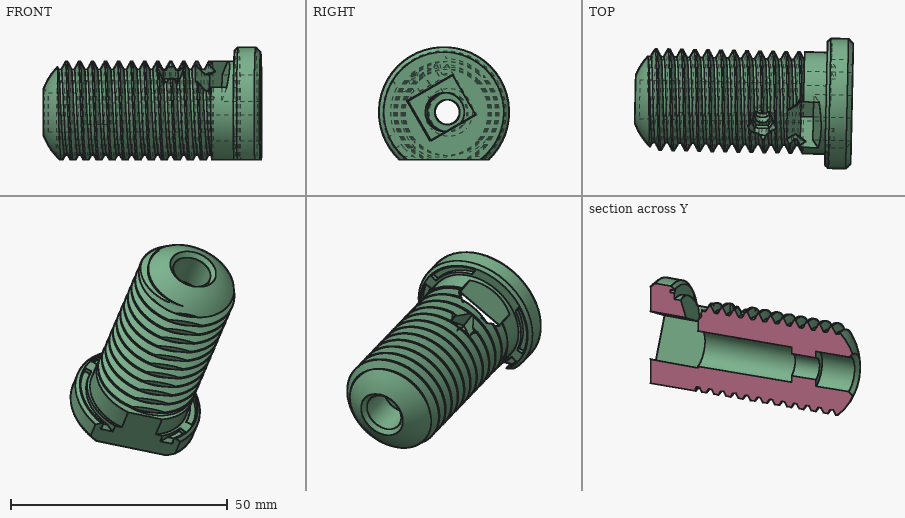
import cadquery as cq
import math

plug_length = 50.05
tilt_angle = 1.27
trap_direction = 60

head_radius = 30.0 / 2
overall_height = 26.0
flat_depth = overall_height - head_radius
head_start = 44.05
front_chamfer = 0.8
rear_chamfer = 1.15

neck_radius = 11.75
neck_start = 38.85

thread_pitch = 30.0 / 10
thread_root_radius = 9.95
thread_crest_radius = 11.7
thread_crest_width = 0.4
thread_root_width = 2.3
thread_overlap = 0.15
crest_position = 29.3
thread_turns = 16
turns_before_crest = 11
quarter_turn = 0.25

bore_radius = 9.0 / 2
waist_radius = 5.7 / 2
waist_start = 9.1
waist_end = 15.15
mouth_radius = 11.0 / 2
mouth_depth = 1.0

slot_start = 38.3
slot_end = 41.15
slot_width = 12.1
slot_floor = -4.15
flare_height = 6.45
front_flare = 3.2
front_flare_slope = 1.24
rear_flare_slope = 0.35
cheek_thickness = 2.25
cheek_setback = 1.1
cheek_nose_length = 1.3
cheek_nose_rise = 0.85

pocket_position = 29.4
pocket_corner_diameter = 6.5
pocket_floor = 6.65
pocket_taper = 0.55
pocket_rim = 10.4
screw_hole_diameter = 3.5

recess_inner_radius = 12.4
recess_outer_radius = 13.9
recess_depth = 1.0
recess_bridge_half_width = 6.6
gap_half_angle = 6.5
recess_chamfer = 0.9

reach = 20.15

out = cq.Vector(0, -math.cos(math.radians(trap_direction)), math.sin(math.radians(trap_direction)))
across = cq.Vector(0, math.sin(math.radians(trap_direction)), math.cos(math.radians(trap_direction)))
axis = cq.Vector(1, 0, 0)


def cylinder(radius, start, end):
    return cq.Workplane("YZ").workplane(offset=start).circle(radius).extrude(end - start)


def thread_ridge():
    """Right-handed trapezoidal ridge that runs from ahead of the tip into the neck."""
    start = crest_position - (turns_before_crest + quarter_turn) * thread_pitch
    base = thread_root_radius - thread_overlap
    flank = (thread_root_width - thread_crest_width) / 2 / (thread_crest_radius - thread_root_radius)
    half_base = thread_root_width / 2 + flank * thread_overlap
    half_crest = thread_crest_width / 2
    helix = cq.Wire.makeHelix(thread_pitch, thread_turns * thread_pitch, base)
    ridge = (
        cq.Workplane("XZ")
        .polyline([
            (base, -half_base),
            (thread_crest_radius, -half_crest),
            (thread_crest_radius, half_crest),
            (base, half_base),
        ])
        .close()
        .sweep(cq.Workplane(obj=helix), isFrenet=True)
    )
    plane = cq.Plane(origin=(start, 0, 0), xDir=(0, 1, 0), normal=(1, 0, 0))
    return ridge.val().moved(cq.Location(plane))


def blank():
    """Threaded shank, neck and chamfered head."""
    shank = (
        cylinder(thread_root_radius, -reach, neck_start + reach)
        .union(cq.Workplane(obj=thread_ridge()))
        .intersect(cylinder(neck_radius, -0.5, neck_start + 0.5))
    )
    neck = cylinder(neck_radius, neck_start, head_start + 0.5)
    head = (
        cylinder(head_radius, head_start, plug_length)
        .faces("<X").chamfer(front_chamfer)
        .faces(">X").chamfer(rear_chamfer)
    )
    return shank.union(neck).union(head)


def envelope():
    """Spherical tip that trims the thread, left open behind it."""
    centre = math.sqrt(head_radius**2 - mouth_radius**2)
    middle = head_radius / math.sqrt(2)
    return (
        cq.Workplane("XY")
        .moveTo(0, 0)
        .lineTo(0, mouth_radius)
        .threePointArc((centre - middle, middle), (centre, head_radius))
        .lineTo(centre, reach)
        .lineTo(plug_length + 0.5, reach)
        .lineTo(plug_length + 0.5, 0)
        .close()
        .revolve(360, (0, 0, 0), (1, 0, 0))
    )


def bore():
    """Stepped bore from the tip to the slot, narrowed to a waist partway."""
    return (
        cq.Workplane("XY")
        .polyline([
            (0, 0),
            (0, mouth_radius),
            (mouth_depth, bore_radius),
            (waist_start, bore_radius),
            (waist_start, waist_radius),
            (waist_end, waist_radius),
            (waist_end, bore_radius),
            (slot_start, bore_radius),
            (slot_start, 0),
        ])
        .close()
        .revolve(360, (0, 0, 0), (1, 0, 0))
    )


def nut_slot():
    """Slot cut in from the side with a flared mouth, joined to a flat-sided socket in the head."""
    side = cq.Plane(origin=(0, 0, 0), xDir=axis, normal=across * -1)
    slot_top = neck_radius + 0.5
    rear_top = slot_end + rear_flare_slope * (slot_top - flare_height)
    slot = (
        cq.Workplane(side)
        .polyline([
            (slot_start, slot_floor),
            (plug_length + 0.5, slot_floor),
            (plug_length + 0.5, flare_height),
            (slot_end, flare_height),
            (rear_top, slot_top),
            (slot_start - front_flare, slot_top),
            (slot_start - front_flare, flare_height + front_flare_slope * front_flare),
            (slot_start, flare_height),
        ])
        .close()
        .extrude(slot_width / 2, both=True)
    )
    for hand in (-1, 1):
        slot = slot.cut(flare_cheek(hand))
    return slot


def flare_cheek(hand):
    """Wedge of material that narrows the front flare on one side of the slot."""
    up_flare = axis * -1 + out * front_flare_slope
    corner = axis * slot_start + out * flare_height + across * (hand * slot_width / 2)
    nose = corner + axis * cheek_nose_length + out * cheek_nose_rise
    inner = corner + up_flare * cheek_setback - across * (hand * cheek_thickness)
    triangle = cq.Wire.makePolygon([corner, nose, inner], close=True)
    return cq.Workplane(obj=cq.Solid.extrudeLinear(triangle, [], up_flare * reach))


def hex_pocket():
    """Hexagonal nut pocket with a tapered floor, a screw hole and two flared edges."""
    def at(height):
        return cq.Workplane(cq.Plane(origin=axis * pocket_position + out * height, xDir=axis, normal=out))

    top = neck_radius + 0.5
    wall_start = pocket_floor + pocket_taper
    taper = (
        at(pocket_floor).polygon(6, pocket_corner_diameter - 2 * pocket_taper)
        .workplane(offset=pocket_taper).polygon(6, pocket_corner_diameter)
        .loft(ruled=True)
    )
    walls = at(wall_start).polygon(6, pocket_corner_diameter).extrude(top - wall_start)
    flat_length = pocket_corner_diameter / 2
    across_flats = pocket_corner_diameter * math.cos(math.radians(30))
    flare = top - pocket_rim
    rim = (
        at(pocket_rim).rect(flat_length, across_flats)
        .workplane(offset=flare).rect(flat_length, across_flats + 2 * flare)
        .loft(ruled=True)
    )
    hole = at(0).circle(screw_hole_diameter / 2).extrude(wall_start)
    return taper.union(walls).union(rim).union(hole)


def head_recesses():
    """Ring under the head, interrupted by a bridge and two gaps, and deepened toward the flat."""
    full_depth = recess_depth + recess_chamfer
    end = head_start + recess_depth
    deep_end = head_start + full_depth
    ring = cylinder(recess_outer_radius, head_start, deep_end).cut(
        cylinder(recess_inner_radius, head_start, deep_end)
    )
    depth_profile = (
        cq.Workplane("XZ")
        .polyline([
            (head_start, reach),
            (end, reach),
            (end, recess_chamfer - flat_depth),
            (deep_end, -flat_depth),
            (head_start, -flat_depth),
        ])
        .close()
        .extrude(reach, both=True)
    )
    ring = ring.intersect(depth_profile)
    face = cq.Workplane(cq.Plane(origin=(head_start, 0, 0), xDir=across, normal=axis))
    bridge = face.center(0, reach / 2).rect(2 * recess_bridge_half_width, reach).extrude(full_depth)
    ring = ring.cut(bridge)
    gap_half_width = reach * math.tan(math.radians(gap_half_angle))
    for side in (-1, 1):
        gap = (
            face.polyline([(0, 0), (side * reach, -gap_half_width), (side * reach, gap_half_width)])
            .close()
            .extrude(full_depth)
        )
        ring = ring.cut(gap)
    return ring


def below_flat():
    """Everything under the flat underside."""
    return cq.Workplane("XY").box(
        3 * plug_length, 3 * reach, reach, centered=(True, True, False)
    ).translate((0, 0, -flat_depth - reach))


plug = blank().intersect(envelope())
for tool in (bore(), nut_slot(), hex_pocket(), head_recesses(), below_flat()):
    plug = plug.cut(tool)

result = plug.rotate((0, 0, 0), (0, 0, 1), -tilt_angle)